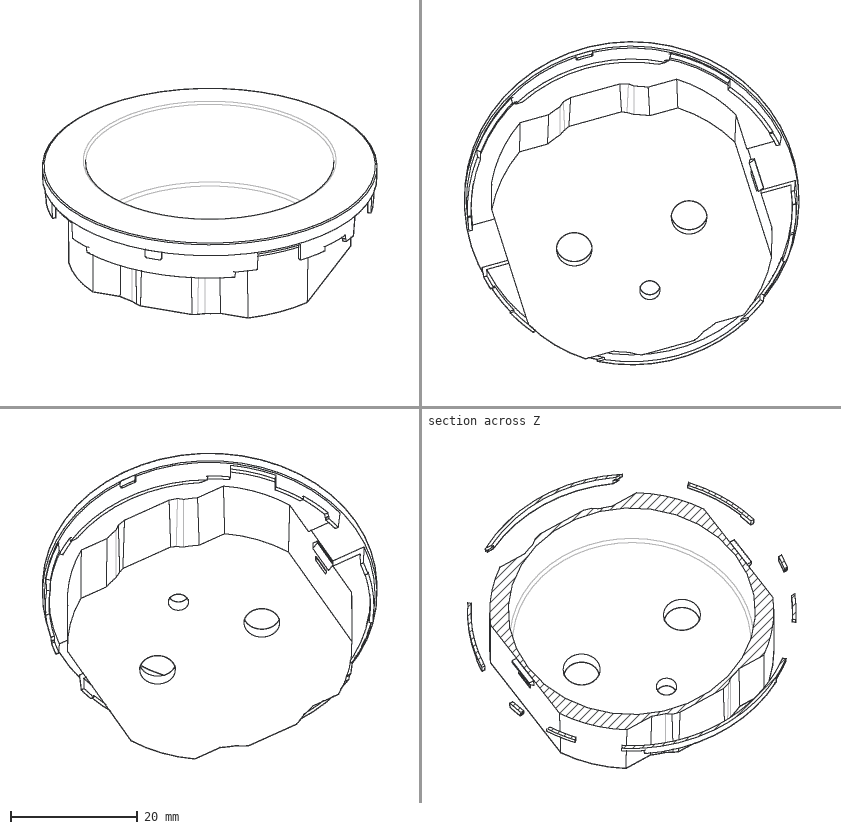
import cadquery as cq
import math

OUTER_RADIUS = 26.5
HEIGHT = 16.8
RIM_BOTTOM = 13.75
RIM_EDGE_TOP = 15.7
DOME_EDGE_RADIUS = 26.25
DOME_EDGE_Z = 15.85
DOME_MID_RADIUS = 23.3
DOME_MID_Z = 16.15
LIP_ROUND = 0.35

CAVITY_TOP_RADIUS = 19.65
CAVITY_FLOOR_RADIUS = 19.35
FLOOR_Z = 2.2
FLOOR_FILLET = 0.5
PIN_HOLE_OFFSET = 9.5
PIN_HOLE_TOP_RADIUS = 2.9
PIN_HOLE_BOTTOM_RADIUS = 2.8
SMALL_HOLE_RADIUS = 1.6
SMALL_HOLE_OFFSET = 10.05

FLANGE_BOTTOM = 12.45
CORNER_RADIUS = 22.5
CORE_RADIUS = 20.2
SIDE_FLAT_X = 20.1
END_FLAT_Y = 18.35
FLAT_DRAFT_DEG = 0.5
END_PANEL_Y = 20.25
END_PANEL_HALF_WIDTH = 4.35
END_PANEL_TOP_HALF_WIDTH = 4.05
PANEL_SHOULDER_Y = 19.9
PANEL_SHOULDER_HALF_WIDTH = 5.15
PANEL_SHOULDER_TOP_HALF_WIDTH = 5.4
PANEL_FOOT_HALF_WIDTH = 6.15

SKIRT_TOP_RADIUS = 26.2
SKIRT_BOTTOM_RADIUS = 25.95
SKIRT_INNER_RADIUS = 25.45
SKIRT_BOTTOM = 9.45
MAIN_SKIRT_BOTTOM = 10.4
LEG_BOTTOM = 9.9
END_LEG_Y = 22.8
REAR_WALL_Y = 22.6
SLOT_TOP = 13.25
SLOT_WIDTH = 7.45
OPENING_TOP_HALF_WIDTH = 3.85
OPENING_BOTTOM_HALF_WIDTH = 4.1
LEG_OUTER_Y = 6.3
NOTCH_TOP = 11.2
NOTCH_INNER_Y = 6.5
NOTCH_OUTER_Y = 11.3

TAB_RADIUS = 26.45
TAB_HALF_WIDTH = 1.4
TAB_BOTTOM = 12.3
TAB_CORNER = 0.2
LATCH_LENGTH = 5.05
LATCH_BOTTOM = 9.7
LATCH_EDGE_Z = 10.65
LATCH_TOP = 11.1
LATCH_REACH = 0.85
BUMP_LENGTH = 3.2
BUMP_BOTTOM = 7.75
BUMP_TOP = 8.65
BUMP_REACH = 0.2

SIDES = (-1, 1)


def cylinder(radius, bottom, top):
    return cq.Workplane("XY").workplane(offset=bottom).circle(radius).extrude(top - bottom)


def block(x_range, y_range, z_range):
    sizes = [high - low for low, high in (x_range, y_range, z_range)]
    return cq.Workplane("XY").box(*sizes, centered=False).translate((x_range[0], y_range[0], z_range[0]))


def make_rim():
    """Domed ring with a crisp outer edge; the centre is filled and bored out later."""
    profile = (
        cq.Workplane("XZ")
        .moveTo(0, RIM_BOTTOM)
        .lineTo(OUTER_RADIUS, RIM_BOTTOM)
        .lineTo(OUTER_RADIUS, RIM_EDGE_TOP)
        .lineTo(DOME_EDGE_RADIUS, DOME_EDGE_Z)
        .threePointArc((DOME_MID_RADIUS, DOME_MID_Z), (CAVITY_TOP_RADIUS + LIP_ROUND, HEIGHT))
        .lineTo(0, HEIGHT)
        .close()
    )
    return profile.revolve(360, (0, 0), (0, 1))


def make_end_panel(side):
    """Raised panel on a Y end; its sloped shoulders change slightly with height."""
    def outline(plane, shoulder_half_width, panel_half_width):
        half = [
            (PANEL_FOOT_HALF_WIDTH, 0),
            (PANEL_FOOT_HALF_WIDTH, math.sqrt(CORE_RADIUS**2 - PANEL_FOOT_HALF_WIDTH**2)),
            (shoulder_half_width, PANEL_SHOULDER_Y),
            (panel_half_width, END_PANEL_Y),
        ]
        points = half + [(-x, y) for x, y in reversed(half)]
        return plane.polyline([(x, side * y) for x, y in points]).close()

    bottom = outline(cq.Workplane("XY"), PANEL_SHOULDER_HALF_WIDTH, END_PANEL_HALF_WIDTH)
    top_plane = bottom.workplane(offset=RIM_BOTTOM)
    top = outline(top_plane, PANEL_SHOULDER_TOP_HALF_WIDTH, END_PANEL_TOP_HALF_WIDTH)
    return top.loft(ruled=True)


def drafted_block(half_x, half_y):
    """Block centred on the axis whose sides lean outward toward the rim."""
    return cq.Workplane("XY").rect(2 * half_x, 2 * half_y).extrude(RIM_BOTTOM, taper=-FLAT_DRAFT_DEG)


def make_body():
    """Cup body: round corners between drafted flats, a round core and two end panels."""
    flats = drafted_block(SIDE_FLAT_X, END_FLAT_Y)
    side_limits = drafted_block(SIDE_FLAT_X, CORNER_RADIUS)
    body = flats.intersect(cylinder(CORNER_RADIUS, 0, RIM_BOTTOM))
    body = body.union(cylinder(CORE_RADIUS, 0, RIM_BOTTOM).intersect(side_limits))
    for side in SIDES:
        body = body.union(make_end_panel(side))
    return body


def opening_cutter():
    """Gap across both X sides, a little wider at its lower end."""
    return (
        cq.Workplane("YZ")
        .polyline([
            (-OPENING_TOP_HALF_WIDTH, RIM_BOTTOM),
            (OPENING_TOP_HALF_WIDTH, RIM_BOTTOM),
            (OPENING_BOTTOM_HALF_WIDTH, SKIRT_BOTTOM),
            (-OPENING_BOTTOM_HALF_WIDTH, SKIRT_BOTTOM),
        ])
        .close()
        .extrude(OUTER_RADIUS, both=True)
    )


def make_skirt():
    """Thin tapered wall with legs, diagonal slots and notches along its lower edge."""
    skirt = (
        cq.Workplane("XZ")
        .polyline([
            (SKIRT_INNER_RADIUS, RIM_BOTTOM),
            (SKIRT_TOP_RADIUS, RIM_BOTTOM),
            (SKIRT_BOTTOM_RADIUS, SKIRT_BOTTOM),
            (SKIRT_INNER_RADIUS, SKIRT_BOTTOM),
        ])
        .close()
        .revolve(360, (0, 0), (0, 1))
    )
    reach = OUTER_RADIUS

    for angle in (45, 135, 225, 315):
        slot = block((0, reach), (-SLOT_WIDTH / 2, SLOT_WIDTH / 2), (0, SLOT_TOP))
        skirt = skirt.cut(slot.rotate((0, 0, 0), (0, 0, 1), angle))

    full_width = (-reach, reach)
    skirt = skirt.cut(block(full_width, (-END_LEG_Y, END_LEG_Y), (0, LEG_BOTTOM)))
    for side in SIDES:
        y_range = sorted((side * LEG_OUTER_Y, side * END_LEG_Y))
        skirt = skirt.cut(block(full_width, y_range, (0, MAIN_SKIRT_BOTTOM)))
    rear_slot_y = (SKIRT_INNER_RADIUS * math.sqrt(0.5), REAR_WALL_Y)
    skirt = skirt.cut(block(full_width, rear_slot_y, (0, SLOT_TOP)))

    notch = (
        cq.Workplane("YZ")
        .polyline([
            (-LEG_OUTER_Y, SKIRT_BOTTOM),
            (-NOTCH_INNER_Y, NOTCH_TOP),
            (-NOTCH_OUTER_Y, NOTCH_TOP),
            (-NOTCH_OUTER_Y, SKIRT_BOTTOM),
        ])
        .close()
        .extrude(OUTER_RADIUS, both=True)
    )
    return skirt.cut(notch)


def make_tab(side):
    """Small plate under the rim, just inside the rim's outer edge."""
    plate = (
        cq.Workplane("XZ")
        .polyline([
            (-TAB_HALF_WIDTH, RIM_BOTTOM),
            (TAB_HALF_WIDTH, RIM_BOTTOM),
            (TAB_HALF_WIDTH, TAB_BOTTOM + TAB_CORNER),
            (TAB_HALF_WIDTH - TAB_CORNER, TAB_BOTTOM),
            (TAB_CORNER - TAB_HALF_WIDTH, TAB_BOTTOM),
            (-TAB_HALF_WIDTH, TAB_BOTTOM + TAB_CORNER),
        ])
        .close()
        .extrude(-side * TAB_RADIUS)
    )
    ring = cylinder(TAB_RADIUS, TAB_BOTTOM, RIM_BOTTOM).cut(
        cylinder(SKIRT_INNER_RADIUS, TAB_BOTTOM, RIM_BOTTOM)
    )
    return plate.intersect(ring)


def make_side_details():
    """Latch wedge and rounded bump on the face of the +X flat."""
    draft = math.tan(math.radians(FLAT_DRAFT_DEG))
    latch_face = SIDE_FLAT_X + LATCH_BOTTOM * draft
    latch = (
        cq.Workplane("XZ")
        .polyline([
            (CAVITY_TOP_RADIUS, LATCH_BOTTOM),
            (latch_face, LATCH_BOTTOM),
            (latch_face + LATCH_REACH, LATCH_EDGE_Z),
            (latch_face + LATCH_REACH, LATCH_TOP),
            (CAVITY_TOP_RADIUS, LATCH_TOP),
        ])
        .close()
        .extrude(LATCH_LENGTH / 2, both=True)
    )
    bump_face = SIDE_FLAT_X + BUMP_BOTTOM * draft
    bump_middle = (BUMP_BOTTOM + BUMP_TOP) / 2
    bump = (
        cq.Workplane("XZ")
        .moveTo(CAVITY_TOP_RADIUS, BUMP_BOTTOM)
        .lineTo(bump_face, BUMP_BOTTOM)
        .threePointArc((bump_face + BUMP_REACH, bump_middle), (bump_face, BUMP_TOP))
        .lineTo(CAVITY_TOP_RADIUS, BUMP_TOP)
        .close()
        .extrude(BUMP_LENGTH / 2, both=True)
    )
    return latch.union(bump)


def cavity_cutter():
    """Slightly tapered bore with a filleted floor and a rounded lip."""
    corner = FLOOR_FILLET * (1 - math.sqrt(0.5))
    lip_corner = LIP_ROUND * (1 - math.sqrt(0.5))
    return (
        cq.Workplane("XZ")
        .moveTo(0, FLOOR_Z)
        .lineTo(CAVITY_FLOOR_RADIUS - FLOOR_FILLET, FLOOR_Z)
        .threePointArc(
            (CAVITY_FLOOR_RADIUS - corner, FLOOR_Z + corner),
            (CAVITY_FLOOR_RADIUS, FLOOR_Z + FLOOR_FILLET),
        )
        .lineTo(CAVITY_TOP_RADIUS, HEIGHT - LIP_ROUND)
        .threePointArc(
            (CAVITY_TOP_RADIUS + lip_corner, HEIGHT - lip_corner),
            (CAVITY_TOP_RADIUS + LIP_ROUND, HEIGHT),
        )
        .lineTo(0, HEIGHT)
        .close()
        .revolve(360, (0, 0), (0, 1))
    )


def pin_hole_cutter(side):
    cone = cq.Solid.makeCone(PIN_HOLE_BOTTOM_RADIUS, PIN_HOLE_TOP_RADIUS, FLOOR_Z)
    return cone.translate(cq.Vector(side * PIN_HOLE_OFFSET, 0, 0))


lower_ring = cylinder(SKIRT_INNER_RADIUS, FLANGE_BOTTOM, RIM_BOTTOM).union(make_skirt())
lower_ring = lower_ring.cut(opening_cutter())

result = make_rim().union(lower_ring).union(make_body())
side_details = make_side_details()
result = result.union(side_details).union(side_details.mirror("YZ"))
for side in SIDES:
    result = result.union(make_tab(side))

result = result.cut(cavity_cutter())
for side in SIDES:
    result = result.cut(cq.Workplane(pin_hole_cutter(side)))
result = result.cut(cylinder(SMALL_HOLE_RADIUS, 0, FLOOR_Z).translate((0, -SMALL_HOLE_OFFSET, 0)))